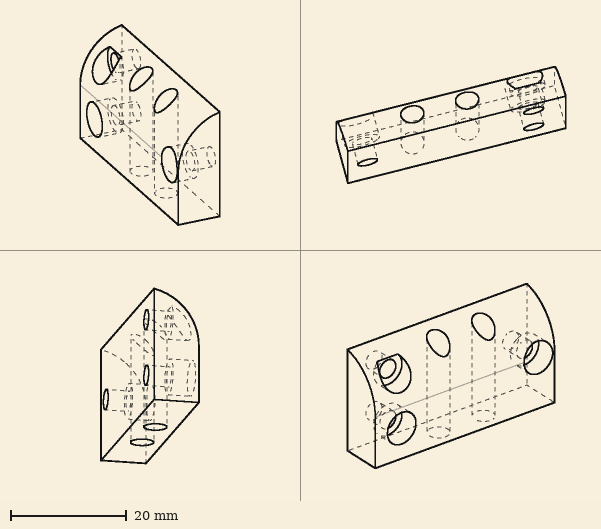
import cadquery as cq
import math

length = 39.0
depth = 8.0
height = 20.0

round_radius = 10.0
round_rise = math.sqrt(round_radius**2 - (round_radius - depth) ** 2)
round_center_z = height - round_rise

screw_diameter = 3.5
counterbore_diameter = 6.2
counterbore_depth = 4.0
left_screw_x = 5.75
screw_pitch_x = 29.7
lower_left_screw_z = 6.0
left_screw_pitch_z = 10.0
right_screw_z = height / 2
screw_positions = [
    (left_screw_x, lower_left_screw_z),
    (left_screw_x, lower_left_screw_z + left_screw_pitch_z),
    (left_screw_x + screw_pitch_x, right_screw_z),
]

vertical_diameter = 4.0
vertical_count = 2
vertical_first_x = 16.55
vertical_pitch = 9.8
vertical_y = 3.75
vertical_positions = [(vertical_first_x + i * vertical_pitch, vertical_y) for i in range(vertical_count)]


def make_body():
    """Side profile in the YZ plane, extruded along the length."""
    half_angle = math.asin(round_rise / round_radius) / 2
    arc_middle = (
        round_radius * (1 - math.cos(half_angle)),
        round_center_z + round_radius * math.sin(half_angle),
    )
    return (
        cq.Workplane("YZ")
        .moveTo(0, 0)
        .lineTo(0, round_center_z)
        .threePointArc(arc_middle, (depth, height))
        .lineTo(depth, 0)
        .close()
        .extrude(length)
    )


def front_cylinders(positions, diameter, reach):
    """Cylinders that start on the front plane and run toward the back."""
    return cq.Workplane("XZ").pushPoints(positions).circle(diameter / 2).extrude(-reach)


def vertical_cylinders():
    """Cylinders for the top-to-bottom holes."""
    return cq.Workplane("XY").pushPoints(vertical_positions).circle(vertical_diameter / 2).extrude(height)


result = (
    make_body()
    .cut(front_cylinders(screw_positions, counterbore_diameter, counterbore_depth))
    .cut(front_cylinders(screw_positions, screw_diameter, depth))
    .cut(vertical_cylinders())
)